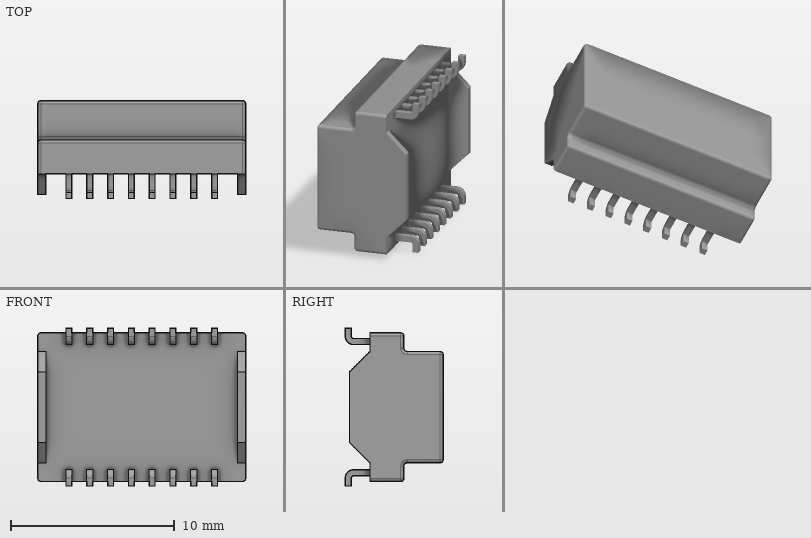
import cadquery as cq


length = 12.7
flange_height = 9.09
flange_depth = 2.08
back_height = 6.81
back_depth = 2.4
edge_radius = 0.2

rib_width = 0.5
rib_height = back_height
rib_projection = 1.26
rib_chamfer = rib_projection

leads_per_row = 8
lead_pitch = 1.27
lead_width = 0.37
lead_thickness = 0.38
lead_projection = 1.51
lead_foot_length = 1.01
lead_inner_radius = 0.13
lead_outer_radius = lead_inner_radius + lead_thickness
lead_tip_span = 9.65


def make_housing():
    """Stepped block, rounded on every edge except those of the lead face."""
    half_flange = flange_height / 2
    half_back = back_height / 2
    back_y = flange_depth + back_depth
    profile = [
        (0, -half_flange),
        (flange_depth, -half_flange),
        (flange_depth, -half_back),
        (back_y, -half_back),
        (back_y, half_back),
        (flange_depth, half_back),
        (flange_depth, half_flange),
        (0, half_flange),
    ]
    block = cq.Workplane("YZ").polyline(profile).close().extrude(length / 2, both=True)
    rounded_steps = block.edges("|X").edges("not <Y").fillet(edge_radius)
    return rounded_steps.faces("<X or >X").edges("not <Y").fillet(edge_radius)


def make_rib(start_x):
    """Trapezoidal standoff rib that begins at start_x and extends along +X."""
    half_base = rib_height / 2
    half_tip = half_base - rib_chamfer
    profile = [
        (0, -half_base),
        (-rib_projection, -half_tip),
        (-rib_projection, half_tip),
        (0, half_base),
    ]
    rib_plane = cq.Workplane("YZ", origin=(start_x, 0, 0))
    return rib_plane.polyline(profile).close().extrude(rib_width)


def make_lead(center_x):
    """Upper-row lead: straight out of the lead face, then bent up to its tip."""
    tip_z = lead_tip_span / 2
    bottom_z = tip_z - lead_foot_length
    top_z = bottom_z + lead_thickness
    outer_y = -lead_projection
    inner_y = outer_y + lead_thickness
    bend_y = outer_y + lead_outer_radius
    bend_z = bottom_z + lead_outer_radius
    lead_plane = cq.Workplane("YZ", origin=(center_x, 0, 0))
    profile = (
        lead_plane.moveTo(0, bottom_z)
        .lineTo(bend_y, bottom_z)
        .radiusArc((outer_y, bend_z), lead_outer_radius)
        .lineTo(outer_y, tip_z)
        .lineTo(inner_y, tip_z)
        .lineTo(inner_y, bend_z)
        .radiusArc((bend_y, top_z), -lead_inner_radius)
        .lineTo(0, top_z)
        .close()
    )
    return profile.extrude(lead_width / 2, both=True)


result = make_housing()

for rib_start_x in (-length / 2, length / 2 - rib_width):
    result = result.union(make_rib(rib_start_x))

first_lead_x = -lead_pitch * (leads_per_row - 1) / 2
for index in range(leads_per_row):
    upper_lead = make_lead(first_lead_x + index * lead_pitch)
    lower_lead = upper_lead.mirror("XY")
    result = result.union(upper_lead).union(lower_lead)